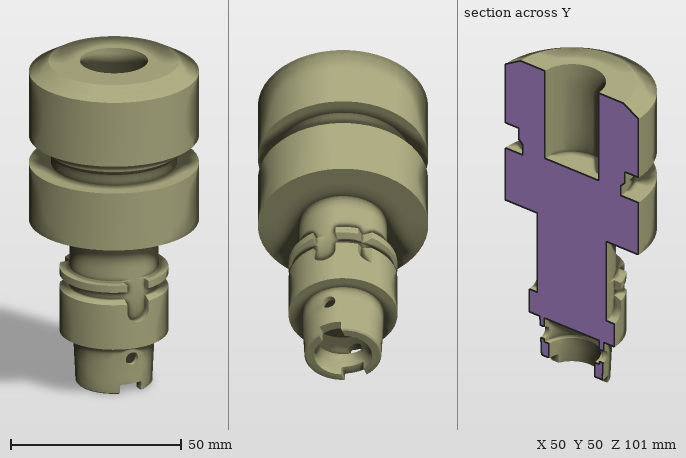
import cadquery as cq
import math

total_height = 101.0
shank_length = 16.0
flange_height = 20.2
flange_top = shank_length + flange_height
collar_bottom = 51.0
collar_top = 69.0
nut_bottom = 77.5

nut_radius = 25.0
nut_chamfer_angle = 30.0
nut_top_radius = 19.25
nut_chamfer_height = (nut_radius - nut_top_radius) * math.tan(math.radians(nut_chamfer_angle))
spigot_radius = 20.0
undercut_radius = 18.5
spigot_chamfer = spigot_radius - undercut_radius
spigot_chamfer_top = 73.8
collar_radius = 25.0
neck_radius = 13.0
tool_bore_radius = 10.0
tool_bore_depth = 30.0

flange_radius = 16.0
neck_foot_width = 0.6
neck_foot_height = 0.3
groove_floor_radius = 13.3
groove_lip_radius = 14.2
groove_bottom = 30.95
groove_top = 33.1
groove_bevel_height = 0.9

shank_top_radius = 12.1
shank_taper = 1.0 / 20.0
shank_mouth_radius = shank_top_radius - shank_taper * shank_length
mouth_chamfer = 0.4
mouth_bore_radius = 8.5
chamber_radius = 10.2
chamber_bottom = 8.0
cross_hole_radius = 2.0
cross_hole_height = 11.0
drive_slot_width = 7.0
drive_slot_depth = 3.0
drive_slot_corner = 0.6

keyway_width = 7.0
keyway_floor = 13.0
keyway_bottom = 24.0
notch_floor = 9.6


def revolved_body():
    """Outer silhouette turned about Z, from the shank mouth up to the nut face."""
    chamfer_start = total_height - nut_chamfer_height
    profile = [
        (0, 0),
        (shank_mouth_radius - mouth_chamfer, 0),
        (shank_mouth_radius + shank_taper * mouth_chamfer, mouth_chamfer),
        (shank_top_radius, shank_length),
        (flange_radius, shank_length),
        (flange_radius, groove_bottom - groove_bevel_height),
        (groove_lip_radius, groove_bottom),
        (groove_floor_radius, groove_bottom),
        (groove_floor_radius, groove_top),
        (groove_lip_radius, groove_top),
        (flange_radius, groove_top + groove_bevel_height),
        (flange_radius, flange_top),
        (neck_radius + neck_foot_width, flange_top),
        (neck_radius, flange_top + neck_foot_height),
        (neck_radius, collar_bottom),
        (collar_radius, collar_bottom),
        (collar_radius, collar_top),
        (undercut_radius, collar_top),
        (undercut_radius, spigot_chamfer_top - spigot_chamfer),
        (spigot_radius, spigot_chamfer_top),
        (spigot_radius, nut_bottom),
        (nut_radius, nut_bottom),
        (nut_radius, chamfer_start),
        (nut_top_radius, total_height),
        (0, total_height),
    ]
    return cq.Workplane("XZ").polyline(profile).close().revolve(360, (0, 0), (0, 1))


def cylinder_along_z(radius, bottom, height):
    return cq.Workplane("XY").workplane(offset=bottom).circle(radius).extrude(height)


def round_ended_cutter(floor_distance, center_y):
    """Slot cutter on the -X side: flat floor, round lower end, open at the flange top."""
    half_width = keyway_width / 2
    arc_center_z = keyway_bottom + half_width
    cutter_top = flange_top + neck_foot_height
    return (
        cq.Workplane("YZ")
        .workplane(offset=-flange_radius)
        .moveTo(center_y - half_width, cutter_top)
        .lineTo(center_y - half_width, arc_center_z)
        .threePointArc((center_y, keyway_bottom), (center_y + half_width, arc_center_z))
        .lineTo(center_y + half_width, cutter_top)
        .close()
        .extrude(flange_radius - floor_distance)
    )


def keyways():
    """Two opposite keyways, on the -X and +X sides."""
    keyway = round_ended_cutter(keyway_floor, 0)
    return keyway.union(keyway.rotate((0, 0, 0), (0, 0, 1), 180))


def orientation_notch():
    """Single notch at the -X, -Y corner of the flange."""
    return round_ended_cutter(notch_floor, -notch_floor - keyway_width / 2)


def drive_slot():
    """Slot across the shank mouth along X, with rounded upper corners."""
    return (
        cq.Workplane("XY")
        .box(2 * flange_radius, drive_slot_width, 2 * drive_slot_depth)
        .edges("|X and >Z")
        .fillet(drive_slot_corner)
    )


def cross_hole():
    """Radial hole through both shank walls along X."""
    return (
        cq.Workplane("YZ")
        .center(0, cross_hole_height)
        .circle(cross_hole_radius)
        .extrude(flange_radius, both=True)
    )


result = (
    revolved_body()
    .cut(cylinder_along_z(tool_bore_radius, total_height - tool_bore_depth, tool_bore_depth))
    .cut(cylinder_along_z(mouth_bore_radius, 0, shank_length))
    .cut(cylinder_along_z(chamber_radius, chamber_bottom, shank_length - chamber_bottom))
    .cut(keyways())
    .cut(orientation_notch())
    .cut(drive_slot())
    .cut(cross_hole())
)